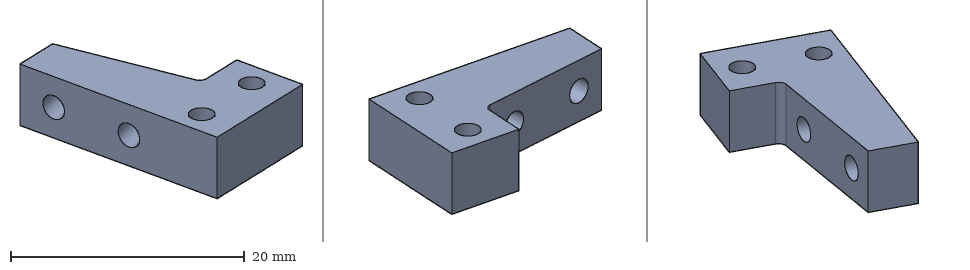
import cadquery as cq
import math

length = 21.35
depth = 11.95
thickness = 6.0

tip_depth = 4.59
block_width = 7.13
taper_angle = 10.0
inner_corner_radius = 0.75

hole_diameter = 2.28
block_hole_x = length - block_width / 2
block_hole_ys = (2.45, 9.43)
arm_hole_xs = (3.67, 11.8)

block_left = length - block_width
taper_slope = math.tan(math.radians(taper_angle))
arm_root_depth = tip_depth + block_left * taper_slope


def make_body():
    """Extrude the outline and round its inner corner."""
    outline = [
        (0, 0),
        (length, 0),
        (length, depth),
        (block_left, depth),
        (block_left, arm_root_depth),
        (0, tip_depth),
    ]
    body = cq.Workplane("XY").polyline(outline).close().extrude(thickness)
    inner_corner = cq.selectors.NearestToPointSelector((block_left, arm_root_depth, thickness / 2))
    return body.edges(inner_corner).fillet(inner_corner_radius)


def block_holes():
    """Vertical through holes in the mounting block."""
    centres = [(block_hole_x, y) for y in block_hole_ys]
    return cq.Workplane("XY").pushPoints(centres).circle(hole_diameter / 2).extrude(thickness)


def arm_hole(front_x):
    """Through hole square to the tapered face, crossing the front face at front_x."""
    angle = math.radians(taper_angle)
    axis = cq.Vector(-math.sin(angle), math.cos(angle), 0)
    front_centre = cq.Vector(front_x, 0, thickness / 2)
    start = front_centre - axis * hole_diameter
    cutter_length = depth + hole_diameter
    return cq.Workplane(cq.Solid.makeCylinder(hole_diameter / 2, cutter_length, start, axis))


result = make_body().cut(block_holes())
for front_x in arm_hole_xs:
    result = result.cut(arm_hole(front_x))